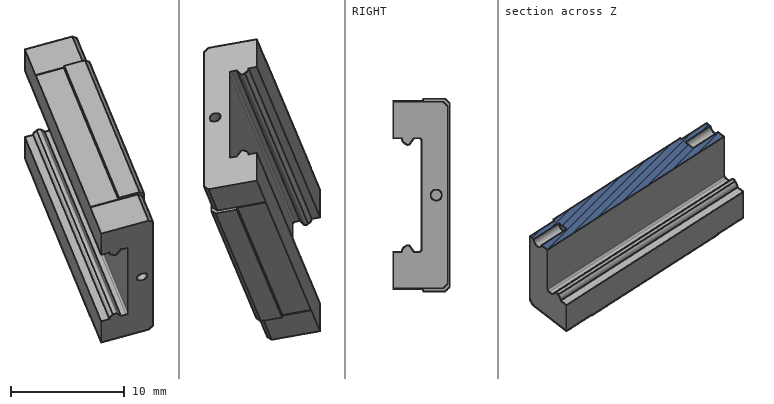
import cadquery as cq

length = 21.1
thickness = 5.0
width = 17.0

body_length = 15.1
body_side_step = 0.21
body_side_depth = 2.6
lip_slope = 0.06

cap_length = (length - body_length) / 2
cap_thickness = 4.83
cap_width = 16.44
rear_chamfer = 0.42

slot_width = 10.0
slot_depth = 2.5
slot_corner_radius = 0.2

ridge_front_root = (0.75, 0)
ridge_front_bulge = (0.87, 0.32)
ridge_crease = (1.1, 0.49)
ridge_tip = (1.29, 0.6)
ridge_rear_shoulder = (1.5, 0.49)
ridge_rear_root = (1.84, 0)
ridge_embed = 0.21

hole_diameter = 0.97
hole_y = 3.8


def block(block_length, block_thickness, block_width):
    """Box centred in X and Z, front face at Y = 0, with its long rear edges chamfered."""
    box = cq.Workplane("XY").box(
        block_length, block_thickness, block_width, centered=(True, False, True)
    )
    return box.faces(">Y").edges("|X").chamfer(rear_chamfer)


def side_relief(side):
    """Material removed in front of the rear lip; side is +1 (top) or -1 (bottom)."""
    outer = side * width / 2
    inner = outer - side * body_side_step
    return (
        cq.Workplane("YZ")
        .moveTo(0, inner)
        .lineTo(body_side_depth, inner)
        .lineTo(body_side_depth + lip_slope, outer)
        .lineTo(0, outer)
        .close()
        .extrude(body_length / 2, both=True)
    )


def ridge(side):
    """Full-length ridge on one slot wall; side is +1 (top) or -1 (bottom)."""

    def place(point):
        y, height = point
        return (y, side * (slot_width / 2 - height))

    return (
        cq.Workplane("YZ")
        .moveTo(*place(ridge_front_root))
        .threePointArc(place(ridge_front_bulge), place(ridge_crease))
        .threePointArc(place(ridge_tip), place(ridge_rear_shoulder))
        .lineTo(*place(ridge_rear_root))
        .lineTo(*place((ridge_rear_root[0], -ridge_embed)))
        .lineTo(*place((ridge_front_root[0], -ridge_embed)))
        .close()
        .extrude(length / 2, both=True)
    )


def end_hole(end):
    """Blind hole as deep as the end cap; end is +1 or -1 along X."""
    return (
        cq.Workplane("YZ", origin=(end * length / 2, hole_y, 0))
        .circle(hole_diameter / 2)
        .extrude(-end * cap_length)
    )


body = block(body_length, thickness, width)
for side in (1, -1):
    body = body.cut(side_relief(side))

result = body.union(block(length, cap_thickness, cap_width))

slot = cq.Workplane("XY").box(length, slot_depth, slot_width, centered=(True, False, True))
slot = slot.faces(">Y").edges("|X").fillet(slot_corner_radius)
result = result.cut(slot)

for side in (1, -1):
    result = result.union(ridge(side))

for end in (1, -1):
    result = result.cut(end_hole(end))